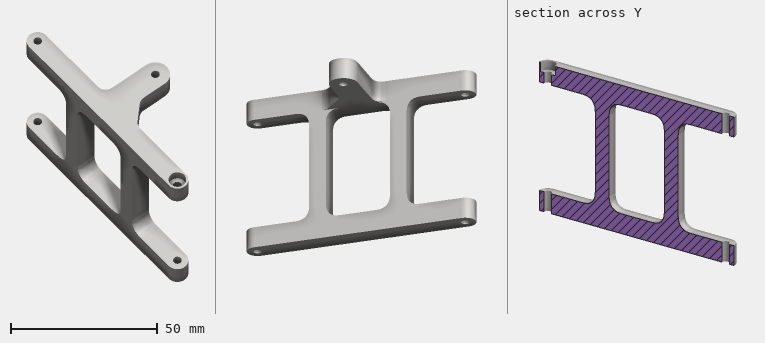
import cadquery as cq
import math

length = 82.5
height = 55.0
bar = 7.5
end_radius = bar / 2

post_width = 6.0
post_spacing = 29.2
post_blend = 5.0

depth = 30.9
ear_x = -1.2
ear_radius = 5.0
ear_hole_y = depth - ear_radius
gusset_leg = 7.5
ear_blend = 4.0
gusset_blend = 1.65

hole_diameter = 3.0
end_hole_x = length / 2 - end_radius
counterbore_diameter = 6.0
counterbore_depth = 3.4

top_rail_z = height - bar


def rail(bottom_z):
    """Round-ended rail along X with its underside at bottom_z."""
    return (
        cq.Workplane("XY", origin=(0, end_radius, bottom_z))
        .slot2D(length, bar)
        .extrude(bar)
    )


def post(center_x):
    """Upright joining the middles of the two rails."""
    return (
        cq.Workplane("XY", origin=(center_x, end_radius, end_radius))
        .rect(post_width, bar)
        .extrude(height - bar)
    )


def post_corner(corner_x, corner_z, x_side, z_side):
    """Parabolic blend filling one inside corner between a post and a rail."""
    along_rail = (corner_x + x_side * post_blend, corner_z)
    corner = (corner_x, corner_z)
    along_post = (corner_x, corner_z + z_side * post_blend)
    return (
        cq.Workplane("XZ")
        .moveTo(*along_rail)
        .bezier([along_rail, corner, along_post])
        .lineTo(*corner)
        .close()
        .extrude(-bar)
    )


def ear():
    """Round-tipped ear with a 45 degree gusset on its +X side and blended corners."""
    left = ear_x - ear_radius
    right = ear_x + ear_radius
    gusset_top = bar + gusset_leg
    gusset_end = right + gusset_leg
    slope_step = gusset_blend * math.sqrt(0.5)

    left_blend = [(left - ear_blend, bar), (left, bar), (left, bar + ear_blend)]
    upper_blend = [
        (right, gusset_top + gusset_blend),
        (right, gusset_top),
        (right + slope_step, gusset_top - slope_step),
    ]
    lower_blend = [
        (gusset_end - slope_step, bar + slope_step),
        (gusset_end, bar),
        (gusset_end + gusset_blend, bar),
    ]
    return (
        cq.Workplane("XY", origin=(0, 0, top_rail_z))
        .moveTo(left - ear_blend, end_radius)
        .lineTo(*left_blend[0])
        .bezier(left_blend)
        .lineTo(left, ear_hole_y)
        .threePointArc((ear_x, depth), (right, ear_hole_y))
        .lineTo(*upper_blend[0])
        .bezier(upper_blend)
        .lineTo(*lower_blend[0])
        .bezier(lower_blend)
        .lineTo(gusset_end + gusset_blend, end_radius)
        .close()
        .extrude(bar)
    )


result = rail(0).union(rail(top_rail_z)).union(ear())
for post_x in (-post_spacing / 2, post_spacing / 2):
    result = result.union(post(post_x))
    for x_side in (-1, 1):
        face_x = post_x + x_side * post_width / 2
        result = result.union(post_corner(face_x, bar, x_side, 1))
        result = result.union(post_corner(face_x, top_rail_z, x_side, -1))

hole_centers = [(-end_hole_x, end_radius), (end_hole_x, end_radius), (ear_x, ear_hole_y)]
holes = (
    cq.Workplane("XY")
    .pushPoints(hole_centers)
    .circle(hole_diameter / 2)
    .extrude(height)
)
counterbore = (
    cq.Workplane("XY", origin=(end_hole_x, end_radius, height - counterbore_depth))
    .circle(counterbore_diameter / 2)
    .extrude(counterbore_depth)
)
result = result.cut(holes).cut(counterbore)